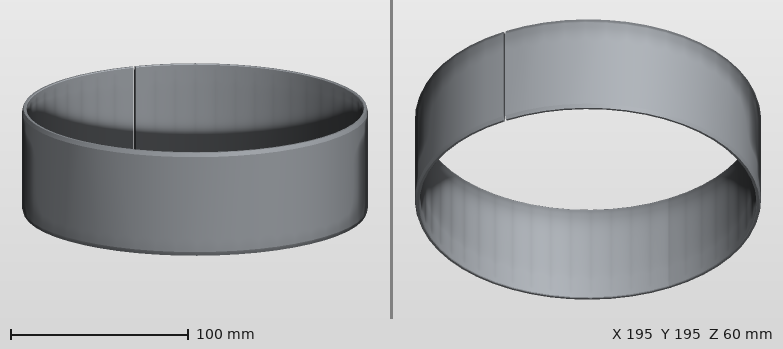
import cadquery as cq

outer_diameter = 195.0
wall = 2.5
height = 60.0
slit_width = 1.5

outer_chamfer_height = 2.3
outer_chamfer_depth = 0.8

inner_chamfer = 0.4

outer_radius = outer_diameter / 2
inner_radius = outer_radius - wall
half_height = height / 2

wall_section = [
    (inner_radius + inner_chamfer, -half_height),
    (outer_radius - outer_chamfer_depth, -half_height),
    (outer_radius, -half_height + outer_chamfer_height),
    (outer_radius, half_height - outer_chamfer_height),
    (outer_radius - outer_chamfer_depth, half_height),
    (inner_radius + inner_chamfer, half_height),
    (inner_radius, half_height - inner_chamfer),
    (inner_radius, -half_height + inner_chamfer),
]
ring = cq.Workplane("XZ").polyline(wall_section).close().revolve(360, (0, 0, 0), (0, 1, 0))

slit = cq.Workplane("XY").box(2 * wall, slit_width, height).translate((-inner_radius, slit_width / 2, 0))

result = ring.cut(slit)